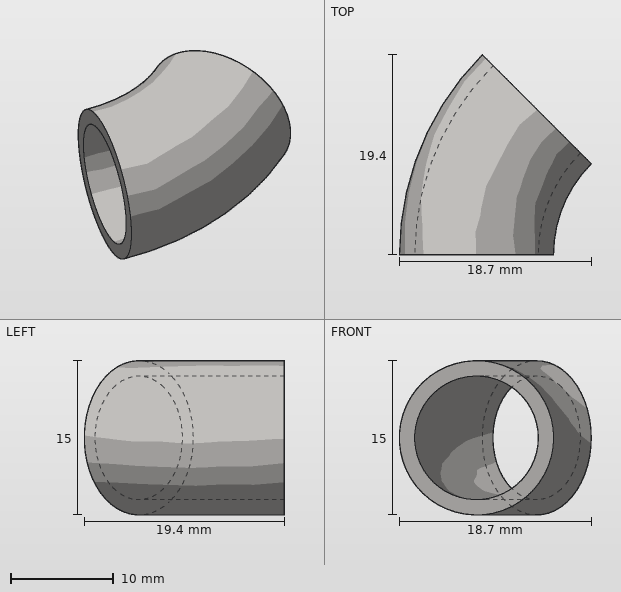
import cadquery as cq
import math

bend_angle = 45.0
reach = 19.45
outer_diameter = 15.0
wall = 1.5

outer_radius = outer_diameter / 2
inner_radius = outer_radius - wall
bend_radius = reach / math.sin(math.radians(bend_angle)) - outer_radius

result = (
    cq.Workplane("XZ")
    .circle(outer_radius)
    .circle(inner_radius)
    .revolve(bend_angle, (bend_radius, 0, 0), (bend_radius, -1, 0))
)